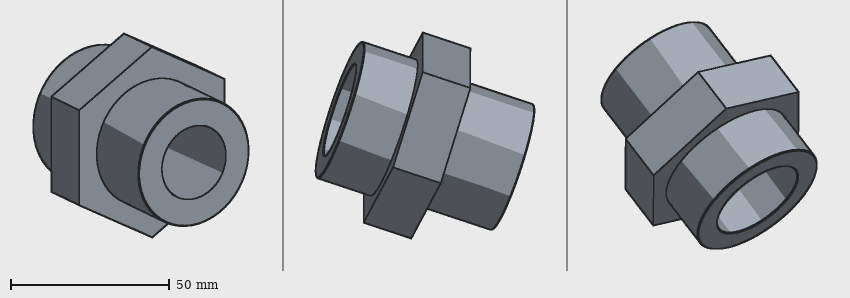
import cadquery as cq

total_length = 58.0
socket_length = 18.0
hex_length = 16.0
male_length = total_length - socket_length - hex_length

hex_across_corners = 63.51
hex_sides = 6
hex_turn = 0.16

socket_diameter = 45.44
male_diameter = 41.91
counterbore_diameter = 30.29
bore_diameter = 24.23

counterbore_depth = male_length
edge_chamfer = 0.3


def cylinder(start, length, diameter):
    """Solid cylinder on the X axis, starting at the given X position."""
    return cq.Workplane("YZ", origin=(start, 0, 0)).circle(diameter / 2).extrude(length)


def make_socket():
    """Larger spigot on the -X side, with its outer rim chamfered."""
    return cylinder(0, socket_length, socket_diameter).faces("<X").edges().chamfer(edge_chamfer)


def make_hex_collar():
    """Hexagonal wrench collar with corners at top and bottom."""
    corner_to_top = 90
    collar = (
        cq.Workplane("YZ", origin=(socket_length, 0, 0))
        .polygon(hex_sides, hex_across_corners)
        .extrude(hex_length)
    )
    return collar.rotate((0, 0, 0), (1, 0, 0), corner_to_top + hex_turn)


def make_male_end():
    """Smaller spigot on the +X side, with its outer rim chamfered."""
    spigot = cylinder(socket_length + hex_length, male_length, male_diameter)
    return spigot.faces(">X").edges().chamfer(edge_chamfer)


def make_bore():
    """Through bore with a counterbore whose mouth flares out at the -X face."""
    bore = cylinder(0, total_length, bore_diameter)
    counterbore = cylinder(0, counterbore_depth, counterbore_diameter)
    mouth = cq.Workplane(
        cq.Solid.makeCone(
            counterbore_diameter / 2 + edge_chamfer,
            counterbore_diameter / 2,
            edge_chamfer,
            dir=cq.Vector(1, 0, 0),
        )
    )
    return bore.union(counterbore).union(mouth)


body = make_socket().union(make_hex_collar()).union(make_male_end())
result = body.cut(make_bore())